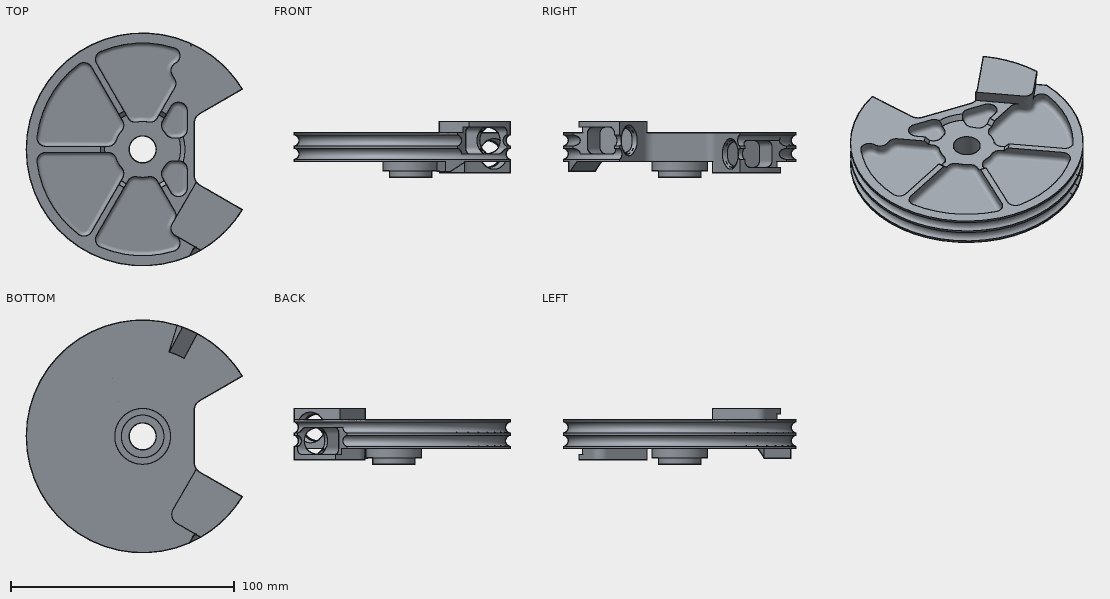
import cadquery as cq
import math

disc_radius = 52.0
disc_height = 13.0
bore_diameter = 12.0

groove_count = 2
groove_width = 5.0
groove_depth = 2.1
rim_width = (disc_height - groove_count * groove_width) / (groove_count + 1)

hub_diameter = 25.0
hub_height = 4.1
spigot_diameter = 19.0
spigot_height = 2.9

dish_radius = 17.0
dish_depth = 2.0

spoke_count = 6
spoke_step = 360 / spoke_count
spoke_half_width = 1.4
pocket_outer_radius = 47.5
pocket_depth = 5.0
pocket_corner_radius = 4.0
pocket_floor_radius = 2.0
small_pocket_x = 20.0
small_pocket_y = 5.1

notch_x = 23.1
notch_angle = 30.0
notch_offset = 1.0
notch_corner_radius = 5.0

pad_height = 5.0
pad_inner_x = 28.1
pad_width = 25.0
upper_pad_corner_radius = 3.7
lower_pad_corner_radius = 4.6
pad_y = -(notch_offset + pad_width)
anchor_wall = 2.6
anchor_z = disc_height - rim_width - groove_width / 2
anchor_diameter = 12.0
anchor_corner_radius = 2.9
anchor_x = 42.2
entry_x = 41.9

flare_depth = 1.4
flare_radius = 6.9
flare_shift = 1.4

stop_inner_radius = 39.5
stop_depth = 4.3
stop_start_angle = -72.7
stop_end_angle = -62.0
stop_ramp_length = 7.2

reach = 2 * disc_radius
mid_height = disc_height / 2


def cylinder(radius, height, base_z):
    return cq.Workplane("XY", origin=(0, 0, base_z)).circle(radius).extrude(height)


def polar(radius, angle):
    return (radius * math.cos(math.radians(angle)), radius * math.sin(math.radians(angle)))


def wedge(start_angle, end_angle, edge_offset, height, base_z):
    """Prism between two radial directions, with each side moved inward by edge_offset."""
    half_angle = (end_angle - start_angle) / 2
    apex_radius = edge_offset / math.sin(math.radians(half_angle))
    apex_x, apex_y = polar(apex_radius, start_angle + half_angle)
    points = [(apex_x, apex_y)]
    for angle in (start_angle, end_angle):
        end_x, end_y = polar(reach, angle)
        points.append((apex_x + end_x, apex_y + end_y))
    return cq.Workplane("XY", origin=(0, 0, base_z)).polyline(points).close().extrude(height)


def grooved_disc():
    profile = cq.Workplane("XZ").lineTo(disc_radius, 0)
    z = 0
    for _ in range(groove_count):
        z += rim_width
        groove_bottom = (disc_radius - groove_depth, z + groove_width / 2)
        profile = profile.lineTo(disc_radius, z)
        z += groove_width
        profile = profile.threePointArc(groove_bottom, (disc_radius, z))
    profile = profile.lineTo(disc_radius, disc_height).lineTo(0, disc_height).close()
    return profile.revolve(360, (0, 0, 0), (0, 1, 0))


def hub():
    boss = cylinder(hub_diameter / 2, hub_height, -hub_height)
    spigot = cylinder(spigot_diameter / 2, spigot_height, -hub_height - spigot_height)
    return boss.union(spigot)


def dish():
    floor_z = disc_height - dish_depth
    return (
        cq.Workplane("XZ")
        .moveTo(0, floor_z)
        .lineTo(dish_radius, floor_z)
        .lineTo(dish_radius + dish_depth, disc_height)
        .lineTo(0, disc_height)
        .close()
        .revolve(360, (0, 0, 0), (0, 1, 0))
    )


def notch():
    slope = math.tan(math.radians(notch_angle))
    y_shift = notch_offset / math.cos(math.radians(notch_angle))
    near_y = notch_x * slope + y_shift
    far_y = reach * slope + y_shift
    outline = [(notch_x, -near_y), (reach, -far_y), (reach, far_y), (notch_x, near_y)]
    return (
        cq.Workplane("XY")
        .polyline(outline)
        .close()
        .extrude(reach, both=True)
        .edges("|Z and <X")
        .fillet(notch_corner_radius)
    )


def turn_to_upper_anchor(shape):
    return shape.rotate((0, 0, 0), (0, 0, 1), -notch_angle)


def turn_over(shape):
    """Half turn about the X direction at mid-height of the disc."""
    return shape.rotate((0, 0, mid_height), (1, 0, mid_height), 180)


def anchor_block(height, base_z):
    """Square-cornered block around one anchor, running out past the rim."""
    return (
        cq.Workplane("XY", origin=(pad_inner_x, pad_y, base_z))
        .rect(reach, -pad_y, centered=False)
        .extrude(height)
    )


def anchor_pad(corner_radius):
    """Block above the disc with its inner far corner rounded and its outside trimmed to the rim."""
    block = anchor_block(pad_height, disc_height)
    rounded = block.edges("|Z").edges("<(1, 1, 0)").fillet(corner_radius)
    return turn_to_upper_anchor(rounded).intersect(cylinder(disc_radius, pad_height, disc_height))


def anchor_cavity():
    """Chamber open to the rim, its side entry for the cable and the hole to the notch."""
    back_y = -notch_offset - anchor_wall
    front_y = pad_y + anchor_wall
    chamber = (
        cq.Workplane("YZ", origin=(pad_inner_x + anchor_wall, (back_y + front_y) / 2, anchor_z))
        .rect(back_y - front_y, anchor_diameter)
        .extrude(reach)
        .edges("|X")
        .fillet(anchor_corner_radius)
    )
    entry_inner_y = front_y + anchor_corner_radius
    entry = (
        cq.Workplane("YZ", origin=(entry_x, entry_inner_y - disc_radius / 2, anchor_z))
        .rect(disc_radius, anchor_diameter)
        .extrude(reach)
    )
    hole_radius = anchor_diameter / 2
    hole = (
        cq.Workplane("XZ", origin=(anchor_x, 0, anchor_z))
        .circle(hole_radius)
        .extrude(-(back_y + front_y) / 2)
    )
    flare = (
        cq.Workplane("XZ", origin=(anchor_x, -notch_offset, anchor_z))
        .center(flare_shift, 0)
        .circle(flare_radius)
        .workplane(offset=flare_depth)
        .center(-flare_shift, 0)
        .circle(hole_radius)
        .loft()
    )
    return turn_to_upper_anchor(chamber.union(entry).union(hole).union(flare))


def finish_pocket(blank, corner_radius):
    """Clear the hub, then round the upright corners and the floor edge."""
    return (
        blank.cut(cylinder(hub_diameter / 2, disc_height, 0))
        .edges("|Z")
        .fillet(corner_radius)
        .faces("<Z")
        .edges()
        .fillet(pocket_floor_radius)
    )


def pocket_blank(start_angle):
    base_z = disc_height - pocket_depth
    sector = wedge(start_angle, start_angle + spoke_step, spoke_half_width, pocket_depth, base_z)
    return sector.intersect(cylinder(pocket_outer_radius, pocket_depth, base_z))


def pockets():
    """Three different pockets on the -Y side and their mirror images on the +Y side."""
    plain = finish_pocket(pocket_blank(-3 * spoke_step), pocket_corner_radius)
    keep_out = turn_to_upper_anchor(anchor_block(disc_height, 0))
    beside_anchor_blank = pocket_blank(-2 * spoke_step).cut(keep_out)
    beside_anchor = finish_pocket(beside_anchor_blank, upper_pad_corner_radius)
    small_limits = (
        cq.Workplane("XY", origin=(0, -small_pocket_y - disc_radius, 0))
        .rect(small_pocket_x, disc_radius, centered=False)
        .extrude(disc_height)
    )
    small = finish_pocket(pocket_blank(-spoke_step).intersect(small_limits), pocket_corner_radius)
    shapes = []
    for pocket in (plain, beside_anchor, small):
        shapes += [pocket, pocket.mirror("XZ")]
    return shapes


def ramped_stop():
    """Ring sector whose lower face rises to the disc along a plane through its end radius."""
    sector = wedge(stop_start_angle, stop_end_angle, 0, stop_depth, -stop_depth)
    ring = cylinder(disc_radius, stop_depth, -stop_depth).cut(
        cylinder(stop_inner_radius, stop_depth, -stop_depth)
    )
    below_ramp = (
        cq.Workplane("YZ")
        .polyline([(0, 0), (-stop_ramp_length, -stop_depth), (0, -stop_depth)])
        .close()
        .extrude(reach)
        .rotate((0, 0, 0), (0, 0, 1), stop_end_angle)
    )
    return sector.intersect(ring).cut(below_ramp)


upper_pad = anchor_pad(upper_pad_corner_radius)
lower_pad = turn_over(anchor_pad(lower_pad_corner_radius))
upper_cavity = anchor_cavity()

result = grooved_disc().cut(dish())
for pocket in pockets():
    result = result.cut(pocket)
result = result.union(hub()).union(ramped_stop())
result = result.union(upper_pad).union(lower_pad)
result = result.cut(upper_cavity).cut(turn_over(upper_cavity))
result = result.cut(notch())
result = result.cut(cylinder(bore_diameter / 2, 2 * reach, -reach))